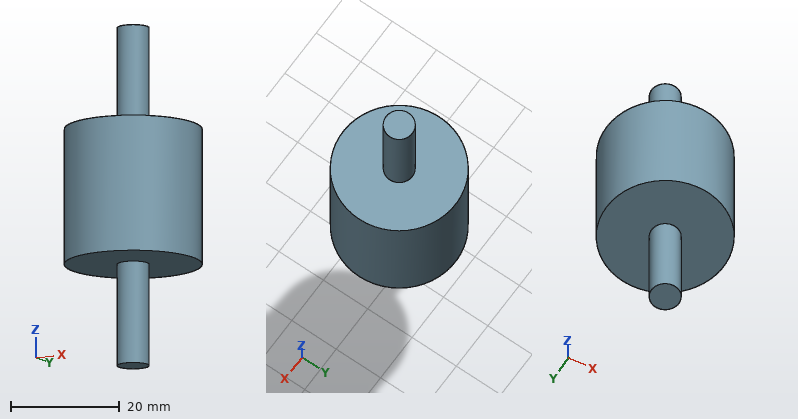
import cadquery as cq

total_length = 63.5
body_diameter = 25.4
body_height = 25.4
stud_diameter = 5.9


def centered_cylinder(diameter, height):
    """Cylinder along Z, centered on the origin."""
    return cq.Workplane("XY").cylinder(height, diameter / 2)


body = centered_cylinder(body_diameter, body_height)
studs = centered_cylinder(stud_diameter, total_length)

result = body.union(studs)